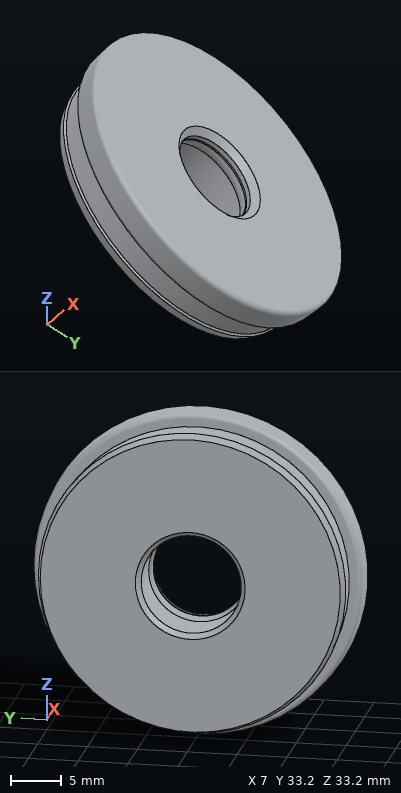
import cadquery as cq
import math

flange_front = 4.0
flange_back = 7.0

plug_radius = 15.2
plug_face_radius = 15.02
barb_radius = 15.4
barb_tip = 1.0
barb_end = 1.2
bore_radius = 5.0
bore_chamfer = 0.5
bore_end = 4.53
throat_start = 5.2
throat_radius = 4.73
hub_radius = 7.33
hub_end = 5.6

flange_radius = 16.65
flange_draft = 0.15
edge_radius = 0.5
end_gap = 0.15
rear_chamfer = 0.7
recess_depth = hub_end + end_gap - flange_front


def revolve_about_x(profile):
    """Turn a closed (X, radius) profile into a solid around the X axis."""
    return profile.close().revolve(360, (0, 0, 0), (1, 0, 0))


def mouth_arc_middle():
    """Middle of the arc that leaves the throat tangentially and widens to the bore radius."""
    run = throat_start - bore_end
    drop = bore_radius - throat_radius
    arc_radius = (run**2 + drop**2) / (2 * drop)
    half_angle = math.asin(run / arc_radius) / 2
    return (
        throat_start - arc_radius * math.sin(half_angle),
        throat_radius + arc_radius * (1 - math.cos(half_angle)),
    )


def make_plug():
    """Barbed plug with a hub at its back and a bore narrowing to a throat."""
    return revolve_about_x(
        cq.Workplane("XY")
        .moveTo(0, bore_radius + bore_chamfer)
        .lineTo(0, plug_face_radius)
        .lineTo(barb_tip, barb_radius)
        .lineTo(barb_end, plug_radius)
        .lineTo(flange_front, plug_radius)
        .lineTo(flange_front, hub_radius)
        .lineTo(hub_end, hub_radius)
        .lineTo(hub_end, throat_radius)
        .lineTo(throat_start, throat_radius)
        .threePointArc(mouth_arc_middle(), (bore_end, bore_radius))
        .lineTo(bore_chamfer, bore_radius)
    )


def make_flange():
    """Tapered flange with rounded edges and a recess for the plug's hub."""
    blank = revolve_about_x(
        cq.Workplane("XY")
        .moveTo(flange_front, throat_radius)
        .lineTo(flange_front, flange_radius - flange_draft)
        .lineTo(flange_back, flange_radius)
        .lineTo(flange_back, throat_radius + rear_chamfer)
        .lineTo(flange_back - rear_chamfer, throat_radius)
    )
    outer_rim = cq.selectors.RadiusNthSelector(-1)
    rounded = blank.faces(">X").edges(outer_rim).fillet(edge_radius)
    rounded = rounded.faces("<X").edges(outer_rim).fillet(edge_radius)
    recess = cq.Workplane("YZ", origin=(flange_front, 0, 0)).circle(hub_radius).extrude(recess_depth)
    return rounded.cut(recess)


plug = make_plug()
flange = make_flange()
result = cq.Compound.makeCompound([plug.val(), flange.val()])